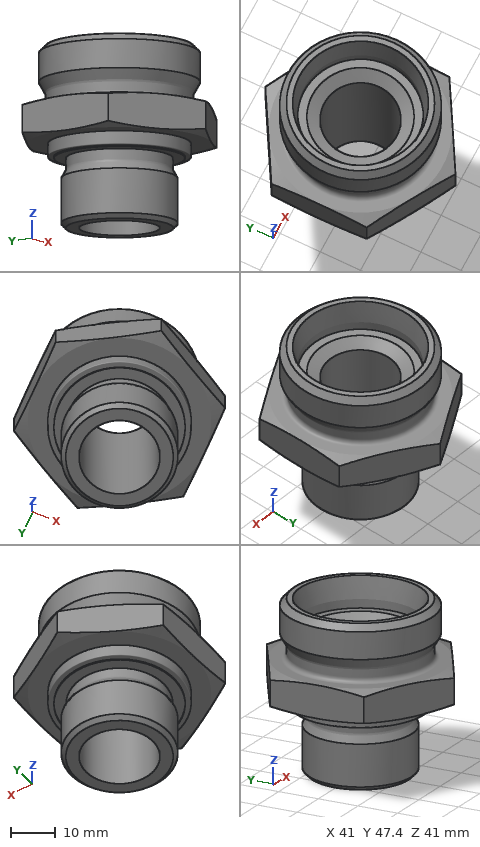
import cadquery as cq
import math

total_height = 41.0
top_z = total_height / 2
bottom_z = -total_height / 2

hex_across_corners = 47.35
hex_bottom_z = -1.45
hex_top_z = 6.5
hex_bevel_diameter = 40.8
hex_bevel_angle = 15.0

socket_radius = 36 / 2
socket_chamfer = 1.5
socket_shoulder_z = 12.45
socket_neck_radius = 33.0 / 2
socket_root_fillet = 1.2

spigot_radius = 26.0 / 2
spigot_neck_radius = 23.8 / 2
spigot_shoulder_z = -9.33
spigot_end_radius = 23.9 / 2

flank_angle = 30.0
flank_blend = 1.0

collar_radius = 31.9 / 2
collar_bottom_z = -4.45
collar_fillet = 0.2
ring_outer_radius = 29.2 / 2
ring_inner_radius = spigot_neck_radius
ring_projection = 0.3
ring_height = 2.0
ring_bottom_z = collar_bottom_z - ring_projection

bore_radius = 18 / 2
countersink_radius = 23.85 / 2
countersink_angle = 30.0
seat_radius = 28.0 / 2
seat_depth = 7.35
mouth_radius = 30.2 / 2
mouth_taper_angle = 12.0


def drop(width, angle):
    """Height of a slope that spans a width at an angle to the horizontal."""
    return width * math.tan(math.radians(angle))


def run(width, angle):
    """Height of a slope that spans a width at an angle to the axis."""
    return width / math.tan(math.radians(angle))


def cylinder(radius, low_z, high_z):
    return cq.Workplane("XY").workplane(offset=low_z).circle(radius).extrude(high_z - low_z)


def revolve_profile(points):
    """Turn a closed outline of (radius, z) points about the Z axis."""
    return cq.Workplane("XZ").polyline(points).close().revolve(360, (0, 0, 0), (0, 1, 0))


def circle_at(z):
    """Selector for the circular edges at one height."""
    margin = 0.005
    reach = hex_across_corners
    return cq.selectors.BoxSelector((-reach, -reach, z - margin), (reach, reach, z + margin), boundingbox=True)


def make_hexagon():
    blank = (
        cq.Workplane("XY").workplane(offset=hex_bottom_z)
        .polygon(6, hex_across_corners).extrude(hex_top_z - hex_bottom_z)
        .rotate((0, 0, 0), (0, 0, 1), 90)
    )
    flat_radius = hex_bevel_diameter / 2
    corner_radius = hex_across_corners / 2
    bevel = drop(corner_radius - flat_radius, hex_bevel_angle)
    bevel_envelope = revolve_profile([
        (0, hex_bottom_z),
        (flat_radius, hex_bottom_z),
        (corner_radius, hex_bottom_z + bevel),
        (corner_radius, hex_top_z - bevel),
        (flat_radius, hex_top_z),
        (0, hex_top_z),
    ])
    return blank.intersect(bevel_envelope)


def make_socket():
    neck_z = socket_shoulder_z - run(socket_radius - socket_neck_radius, flank_angle)
    socket = revolve_profile([
        (0, hex_top_z),
        (socket_neck_radius, hex_top_z),
        (socket_neck_radius, neck_z),
        (socket_radius, socket_shoulder_z),
        (socket_radius, top_z - socket_chamfer),
        (socket_radius - socket_chamfer, top_z),
        (0, top_z),
    ])
    return socket.edges(circle_at(neck_z)).fillet(flank_blend)


def make_spigot():
    neck_z = spigot_shoulder_z + run(spigot_radius - spigot_neck_radius, flank_angle)
    end_chamfer = spigot_radius - spigot_end_radius
    spigot = revolve_profile([
        (0, bottom_z),
        (spigot_end_radius, bottom_z),
        (spigot_radius, bottom_z + end_chamfer),
        (spigot_radius, spigot_shoulder_z),
        (spigot_neck_radius, neck_z),
        (spigot_neck_radius, hex_bottom_z),
        (0, hex_bottom_z),
    ])
    return spigot.edges(circle_at(neck_z)).fillet(flank_blend)


def make_collar():
    collar = cylinder(collar_radius, collar_bottom_z, hex_bottom_z)
    return collar.faces("<Z").edges().fillet(collar_fillet)


def make_bore():
    seat_z = top_z - seat_depth
    mouth_taper_z = top_z - run(mouth_radius - seat_radius, mouth_taper_angle)
    return revolve_profile([
        (0, bottom_z),
        (bore_radius, bottom_z),
        (bore_radius, seat_z - drop(countersink_radius - bore_radius, countersink_angle)),
        (countersink_radius, seat_z),
        (seat_radius, seat_z),
        (seat_radius, mouth_taper_z),
        (mouth_radius, top_z),
        (0, top_z),
    ])


def make_sealing_ring():
    ring_top_z = ring_bottom_z + ring_height
    outside = cylinder(ring_outer_radius, ring_bottom_z, ring_top_z)
    return outside.cut(cylinder(ring_inner_radius, ring_bottom_z, ring_top_z))


def make_fitting(ring):
    fitting = make_hexagon().union(make_socket())
    root = cq.selectors.RadiusNthSelector(0)
    fitting = fitting.edges(circle_at(hex_top_z)).edges(root).fillet(socket_root_fillet)
    fitting = fitting.union(make_collar()).union(make_spigot())
    return fitting.cut(make_bore()).cut(ring)


sealing_ring = make_sealing_ring()
fitting = make_fitting(sealing_ring)

result = cq.Compound.makeCompound([fitting.val(), sealing_ring.val()])